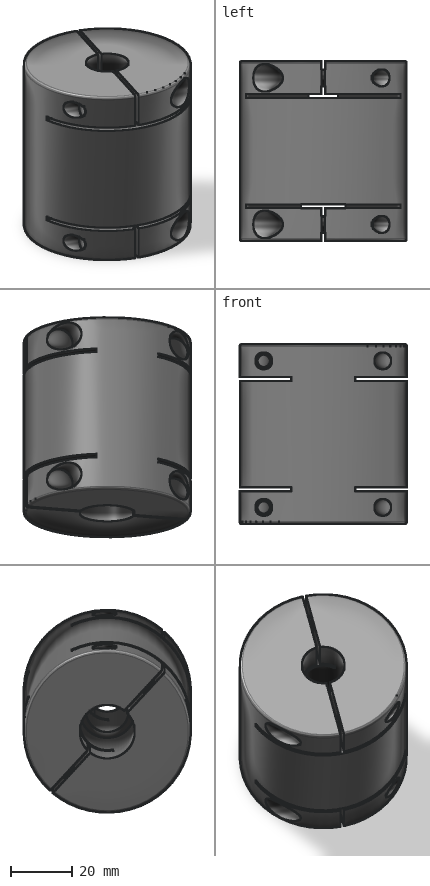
import cadquery as cq
import math

height = 59.0
diameter = 54.8
radius = diameter / 2
rim_fillet = 0.8

upper_bore_diameter = 14.0
lower_bore_diameter = 18.0

gap = 1.2
hub_height = 10.85
web_half_width = 10.55
saw_radius = 59.0

fastener_spacing = 39.0
fastener_end_distance = 5.5
hole_diameter = 5.55
hole_floor = 14.15
screw_diameter = 5.0
screw_tip_chamfer = 0.5
tip_depth = 16.3
head_bore_diameter = 9.0
head_bore_floor = 11.8


def make_body():
    body = cq.Workplane("XY").circle(radius).extrude(height)
    body = body.faces("<Z or >Z").edges().fillet(rim_fillet)
    lower_bore = cq.Workplane("XY").circle(lower_bore_diameter / 2).extrude(height / 2)
    upper_bore = cq.Workplane("XY").circle(upper_bore_diameter / 2).extrude(height)
    return body.cut(lower_bore).cut(upper_bore)


def make_split(z_start):
    """Slab on the XZ plane that parts one hub into two clamp halves."""
    return cq.Workplane("XY", origin=(0, 0, z_start)).rect(2 * diameter, gap).extrude(hub_height)


def make_side_cuts(z_start):
    """Two saw cuts with round floors, sinking into the -X and +X sides."""
    rim_y = math.sqrt(radius**2 - web_half_width**2)
    saw_center_x = web_half_width + math.sqrt(saw_radius**2 - rim_y**2)
    centers = [(-saw_center_x, 0), (saw_center_x, 0)]
    return cq.Workplane("XY", origin=(0, 0, z_start)).pushPoints(centers).circle(saw_radius).extrude(gap)


def cylinder_along_y(x, z, cylinder_diameter, y_start, y_end):
    """Cylinder from y_start down to the smaller y_end."""
    plane = cq.Workplane("XZ", origin=(x, y_start, z))
    return plane.circle(cylinder_diameter / 2).extrude(y_start - y_end)


def make_screw(x, z):
    shank = cylinder_along_y(x, z, screw_diameter, head_bore_floor, -tip_depth)
    return shank.faces("<Y").edges().chamfer(screw_tip_chamfer)


def make_pin(x, z):
    """Plain pin that fills its hole from side to side."""
    return cylinder_along_y(x, z, hole_diameter, head_bore_floor, -tip_depth)


result = make_body()

for split_z, side_cut_z in ((0, hub_height), (height - hub_height, height - hub_height - gap)):
    result = result.cut(make_split(split_z)).cut(make_side_cuts(side_cut_z))

for z in (fastener_end_distance, height - fastener_end_distance):
    for x, make_fastener in ((-fastener_spacing / 2, make_screw), (fastener_spacing / 2, make_pin)):
        hole = cylinder_along_y(x, z, hole_diameter, -hole_floor, -radius)
        head_bore = cylinder_along_y(x, z, head_bore_diameter, radius, head_bore_floor)
        result = result.cut(hole).cut(head_bore).union(make_fastener(x, z))